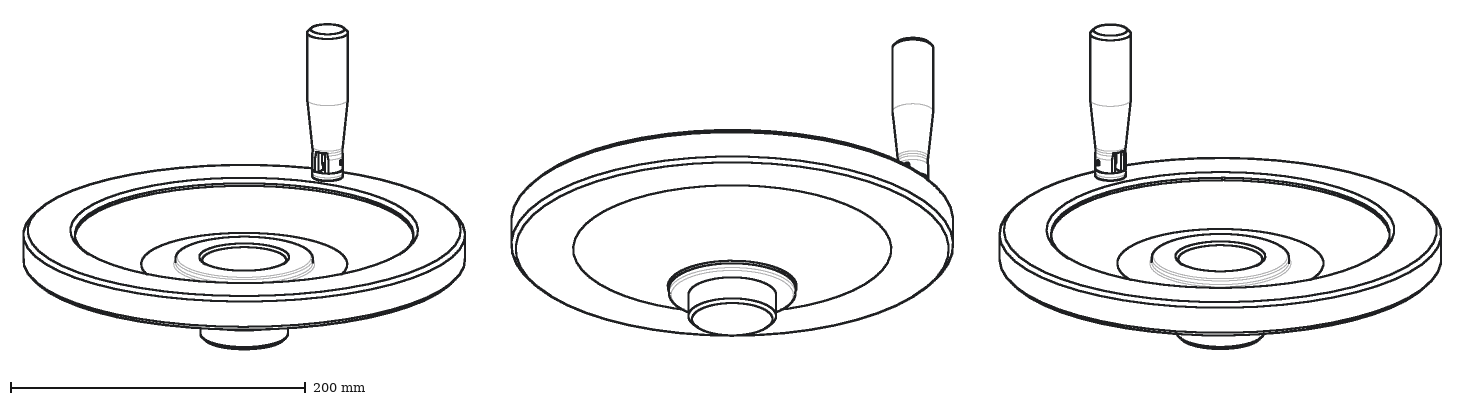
import cadquery as cq
import math

RIM_DIAMETER = 300.0
RIM_BOTTOM = 52.0
RIM_TOP = 76.0
RIM_CHAMFER = 3.0

DISH_DIAMETER = 230.0
DISH_EDGE_DEPTH = 4.8
FLOOR_DIAMETER = 140.0
FLOOR_HEIGHT = 52.0
CONE_DIAMETER = 216.0

SEAT_DIAMETER = 93.4
SEAT_HEIGHT = 5.0
SEAT_FILLET = 1.2
RECESS_DIAMETER = 57.0
RECESS_DEPTH = 2.0

HUB_DIAMETER = 59.6
HUB_CHAMFER = 2.4
COLLAR_DIAMETER = 86.0
COLLAR_BOTTOM = 18.0
COLLAR_TOP = 23.4
COLLAR_FILLET = 1.5
COLLAR_FLARE = 0.8

HANDLE_OFFSET = 133.0
HANDLE_TOP = 181.0
HANDLE_ROOT_DEPTH = 1.0
GRIP_DIAMETER = 27.8
GRIP_CHAMFER = 2.5
GRIP_TAPER_TOP = 131.0
GRIP_BOTTOM = 97.5
GRIP_END_HEIGHT = 1.7

NECK_DIAMETER = 21.0
NECK_UPPER_DIAMETER = 20.4
NECK_CONE_TOP = 94.0
NECK_CONE_BOTTOM = 91.2
NECK_FOOT_CHAMFER = 0.5
GROOVE_TOP = 81.4
GROOVE_BOTTOM = 78.5
GROOVE_DEPTH = 0.5

FLAT_WIDTH = 10.0
FLAT_TOP = GRIP_BOTTOM - GRIP_END_HEIGHT
SLOT_WIDTH = 4.7
SLOT_BOTTOM = GROOVE_TOP
SLOT_HEAD_OFFSET = 3.0
SLOT_FACE_OFFSET = 3.8
SLOT_FACE_TOP = 92.8
SLOT_FACE_BOTTOM = 86.5
SLOT_FOOT_OFFSET = 2.5
SLOT_FOOT_TOP = 84.3

PIN_DIAMETER = 3.2
PIN_HOLE_DIAMETER = 3.5
PIN_HEIGHT = 87.5
PIN_RECESS = 0.5
PIN_GAP_DEPTH = 1.5


def revolve_profile(profile):
    """Revolve a closed (radius, height) profile about the Z axis."""
    return profile.close().revolve(360, (0, 0, 0), (0, 1, 0))


def wheel():
    rim = RIM_DIAMETER / 2
    dish = DISH_DIAMETER / 2
    seat = SEAT_DIAMETER / 2
    recess = RECESS_DIAMETER / 2
    hub = HUB_DIAMETER / 2
    collar = COLLAR_DIAMETER / 2
    seat_top = FLOOR_HEIGHT + SEAT_HEIGHT
    profile = (
        cq.Workplane("YZ")
        .lineTo(hub - HUB_CHAMFER, 0)
        .lineTo(hub, HUB_CHAMFER)
        .lineTo(hub, COLLAR_BOTTOM)
        .lineTo(collar - COLLAR_FILLET, COLLAR_BOTTOM)
        .radiusArc((collar, COLLAR_BOTTOM + COLLAR_FILLET), -COLLAR_FILLET)
        .lineTo(collar, COLLAR_TOP - COLLAR_FLARE)
        .lineTo(collar + COLLAR_FLARE, COLLAR_TOP + COLLAR_FLARE)
        .lineTo(CONE_DIAMETER / 2, RIM_BOTTOM)
        .lineTo(rim - RIM_CHAMFER, RIM_BOTTOM)
        .lineTo(rim, RIM_BOTTOM + RIM_CHAMFER)
        .lineTo(rim, RIM_TOP - RIM_CHAMFER)
        .lineTo(rim - RIM_CHAMFER, RIM_TOP)
        .lineTo(dish + RIM_CHAMFER, RIM_TOP)
        .lineTo(dish, RIM_TOP - RIM_CHAMFER)
        .lineTo(dish, RIM_TOP - DISH_EDGE_DEPTH)
        .lineTo(FLOOR_DIAMETER / 2, FLOOR_HEIGHT)
        .lineTo(seat + SEAT_FILLET, FLOOR_HEIGHT)
        .radiusArc((seat, FLOOR_HEIGHT + SEAT_FILLET), SEAT_FILLET)
        .lineTo(seat, seat_top - SEAT_FILLET)
        .radiusArc((seat - SEAT_FILLET, seat_top), -SEAT_FILLET)
        .lineTo(recess + RECESS_DEPTH, seat_top)
        .lineTo(recess, seat_top - RECESS_DEPTH)
        .lineTo(0, seat_top - RECESS_DEPTH)
    )
    return revolve_profile(profile)


def handle_body():
    grip = GRIP_DIAMETER / 2
    neck = NECK_DIAMETER / 2
    neck_upper = NECK_UPPER_DIAMETER / 2
    root = RIM_TOP - HANDLE_ROOT_DEPTH
    profile = cq.Workplane("YZ").polyline([
        (0, root),
        (neck - NECK_FOOT_CHAMFER, root),
        (neck - NECK_FOOT_CHAMFER, RIM_TOP),
        (neck, RIM_TOP + NECK_FOOT_CHAMFER),
        (neck, GROOVE_BOTTOM),
        (neck - GROOVE_DEPTH, GROOVE_TOP),
        (neck, GROOVE_TOP),
        (neck, NECK_CONE_BOTTOM),
        (neck_upper, NECK_CONE_TOP),
        (neck_upper, FLAT_TOP),
        (neck, GRIP_BOTTOM),
        (grip, GRIP_TAPER_TOP),
        (grip, HANDLE_TOP - GRIP_CHAMFER),
        (grip - GRIP_CHAMFER, HANDLE_TOP),
        (0, HANDLE_TOP),
    ])
    return revolve_profile(profile)


def neck_flat():
    """Block that cuts a flat of the given chord width on the -Y side of the neck."""
    flat_offset = math.sqrt((NECK_DIAMETER / 2) ** 2 - (FLAT_WIDTH / 2) ** 2)
    return (
        cq.Workplane("XY")
        .box(NECK_DIAMETER, NECK_DIAMETER, FLAT_TOP - SLOT_BOTTOM, centered=(True, False, False))
        .translate((0, -flat_offset - NECK_DIAMETER, SLOT_BOTTOM))
    )


def neck_slot():
    """Slot open to -Y; its back wall stands proud in the middle and slopes back to its foot."""
    outline = [
        (-NECK_DIAMETER, SLOT_BOTTOM),
        (-SLOT_FOOT_OFFSET, SLOT_BOTTOM),
        (-SLOT_FOOT_OFFSET, SLOT_FOOT_TOP),
        (-SLOT_FACE_OFFSET, SLOT_FACE_BOTTOM),
        (-SLOT_FACE_OFFSET, SLOT_FACE_TOP),
        (-SLOT_HEAD_OFFSET, SLOT_FACE_TOP),
        (-SLOT_HEAD_OFFSET, FLAT_TOP),
        (-NECK_DIAMETER, FLAT_TOP),
    ]
    return cq.Workplane("YZ").polyline(outline).close().extrude(SLOT_WIDTH / 2, both=True)


def cross_rod(diameter, length):
    """Cylinder along X through the neck axis at the height of the cross pin."""
    return (
        cq.Workplane("YZ")
        .center(0, PIN_HEIGHT)
        .circle(diameter / 2)
        .extrude(length / 2, both=True)
    )


def cross_pin_gaps():
    """Recess above each end of the cross pin, with a thin ring gap around the pin."""
    bore = cross_rod(PIN_HOLE_DIAMETER, NECK_DIAMETER)
    pin = cross_rod(PIN_DIAMETER, NECK_DIAMETER - 2 * PIN_RECESS)
    core = cross_rod(PIN_HOLE_DIAMETER, NECK_DIAMETER - 2 * PIN_GAP_DEPTH)
    return bore.cut(pin).cut(core)


def handle():
    body = handle_body().cut(neck_flat()).cut(neck_slot()).cut(cross_pin_gaps())
    return body.translate((0, HANDLE_OFFSET, 0))


result = wheel().union(handle())